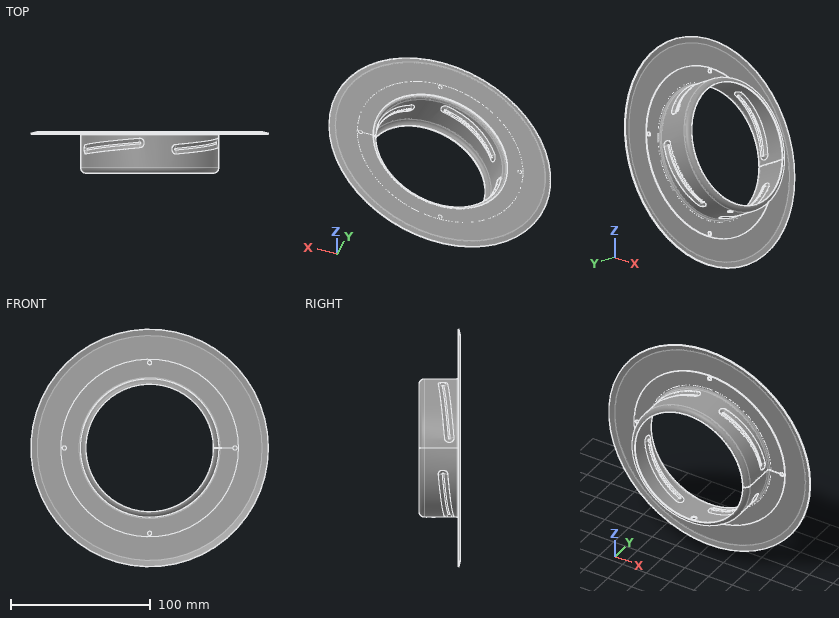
import cadquery as cq
import math


plate_diameter = 170.0
plate_flat_diameter = 161.0
plate_bore_diameter = 103.0
plate_thickness = 0.9
lip_drop = 1.1

total_depth = 29.8
sheet = 0.9
collar_diameter = 99.05
rim_opening_diameter = 91.0
flange_diameter = 127.0
bend_radius = 0.9

flange_hole_diameter = 3.0
flange_hole_circle_diameter = 122.0
flange_hole_count = 4
wall_hole_diameter = 4.0
wall_hole_depth = 22.5

slit_width = 0.1

groove_count = 4
groove_half_width = 3.4
groove_floor_half_width = 0.6
groove_floor_depth = 1.4
groove_start_angle = 8.3
groove_end_angle = 67.5
groove_start_depth = 8.1
groove_end_depth = 12.6
groove_overshoot = 0.5

collar_radius = collar_diameter / 2
bore_radius = collar_radius - sheet
rim_inner_radius = rim_opening_diameter / 2
flange_radius = flange_diameter / 2
flange_back = -plate_thickness
flange_front = flange_back - sheet
rim_bend_radius = collar_radius - rim_inner_radius
inner_rim_bend_radius = rim_bend_radius - sheet
outer_bend_radius = bend_radius + sheet
rim_start = -total_depth + rim_bend_radius
full_turn = 360.0


def revolve_about_y(profile):
    return profile.close().revolve(full_turn, (0, 0, 0), (0, 1, 0))


def arc_middle(center, radius, side):
    """Middle point of a quarter arc; side holds the signs of its quadrant."""
    reach = radius * math.sqrt(0.5)
    return (center[0] + side[0] * reach, center[1] + side[1] * reach)


def turn_about_y(body, angle):
    """Turn a body about Y, from +X toward +Z."""
    return body.rotate((0, 0, 0), (0, 1, 0), -angle)


def make_plate():
    outer = plate_diameter / 2
    flat = plate_flat_diameter / 2
    bore = plate_bore_diameter / 2
    lip_angle = math.atan2(lip_drop, outer - flat)
    edge_run = plate_thickness * math.sin(lip_angle)
    edge_rise = plate_thickness * math.cos(lip_angle)
    front_shift = plate_thickness * math.tan(lip_angle / 2)
    profile = (
        cq.Workplane("XY")
        .moveTo(bore, 0)
        .lineTo(flat, 0)
        .lineTo(outer, -lip_drop)
        .lineTo(outer - edge_run, -lip_drop - edge_rise)
        .lineTo(flat - front_shift, -plate_thickness)
        .lineTo(bore, -plate_thickness)
    )
    return revolve_about_y(profile)


def make_flanged_sleeve():
    bend_center = (collar_radius + bend_radius, flange_front - bend_radius)
    rim_center = (rim_inner_radius, rim_start)
    profile = (
        cq.Workplane("XY")
        .moveTo(flange_radius, flange_back)
        .lineTo(flange_radius, flange_front)
        .lineTo(bend_center[0], flange_front)
        .threePointArc(arc_middle(bend_center, bend_radius, (-1, 1)), (collar_radius, bend_center[1]))
        .lineTo(collar_radius, rim_start)
        .threePointArc(arc_middle(rim_center, rim_bend_radius, (1, -1)), (rim_inner_radius, -total_depth))
        .lineTo(rim_inner_radius, -total_depth + sheet)
        .threePointArc(arc_middle(rim_center, inner_rim_bend_radius, (1, -1)), (bore_radius, rim_start))
        .lineTo(bore_radius, bend_center[1])
        .threePointArc(arc_middle(bend_center, outer_bend_radius, (-1, 1)), (bend_center[0], flange_back))
    )
    return revolve_about_y(profile)


def make_groove_body(top_radius, top_half_width, floor_radius, floor_half_width):
    """Helical bar of tapered section with conical ends, first groove position."""
    sweep_angle = groove_end_angle - groove_start_angle
    advance = groove_end_depth - groove_start_depth
    pitch = advance * full_turn / sweep_angle
    helix = cq.Wire.makeHelix(pitch, advance, floor_radius)
    bar = (
        cq.Workplane("XZ")
        .moveTo(floor_radius, -floor_half_width)
        .lineTo(top_radius, -top_half_width)
        .lineTo(top_radius, top_half_width)
        .lineTo(floor_radius, floor_half_width)
        .close()
        .sweep(cq.Workplane(helix), isFrenet=True)
    )
    cone = cq.Workplane(
        cq.Solid.makeCone(
            floor_half_width,
            top_half_width,
            top_radius - floor_radius,
            cq.Vector(floor_radius, 0, 0),
            cq.Vector(1, 0, 0),
        )
    )
    end_cone = cone.rotate((0, 0, 0), (0, 0, 1), sweep_angle).translate((0, 0, advance))
    body = bar.union(cone).union(end_cone)
    body = body.rotate((0, 0, 0), (1, 0, 0), 90)
    return turn_about_y(body.translate((0, -groove_start_depth, 0)), groove_start_angle)


def press_grooves(sleeve):
    flank_run = groove_half_width - groove_floor_half_width
    flank_slope = flank_run / groove_floor_depth
    flank_angle = math.atan2(flank_run, groove_floor_depth)
    floor_radius = collar_radius - groove_floor_depth

    groove = make_groove_body(
        collar_radius + groove_overshoot,
        groove_half_width + groove_overshoot * flank_slope,
        floor_radius,
        groove_floor_half_width,
    )

    ridge_top_radius = collar_radius - sheet / 2
    ridge_floor_radius = floor_radius - sheet
    flank_offset = sheet / math.cos(flank_angle)
    ridge_top_half_width = groove_half_width - flank_slope * sheet / 2 + flank_offset
    ridge_height = ridge_top_radius - ridge_floor_radius
    ridge = make_groove_body(
        ridge_top_radius,
        ridge_top_half_width,
        ridge_floor_radius,
        ridge_top_half_width - flank_slope * ridge_height,
    )

    for index in range(groove_count):
        angle = index * full_turn / groove_count
        sleeve = sleeve.union(turn_about_y(ridge, angle))
        sleeve = sleeve.cut(turn_about_y(groove, angle))
    return sleeve


def drill_flange_holes(sleeve):
    drill = (
        cq.Workplane("XZ")
        .polarArray(flange_hole_circle_diameter / 2, 0, full_turn, flange_hole_count)
        .circle(flange_hole_diameter / 2)
        .extrude(total_depth)
    )
    return sleeve.cut(drill)


def drill_wall_hole(sleeve):
    drill = (
        cq.Workplane("XY")
        .center(0, -wall_hole_depth)
        .circle(wall_hole_diameter / 2)
        .extrude(-flange_radius)
    )
    return sleeve.cut(drill)


def cut_slit(sleeve):
    slit = cq.Workplane("XY").box(
        flange_diameter, total_depth, slit_width, centered=(False, False, True)
    )
    return sleeve.cut(slit.translate((0, -total_depth, 0)))


def make_sleeve():
    sleeve = make_flanged_sleeve()
    sleeve = press_grooves(sleeve)
    sleeve = drill_flange_holes(sleeve)
    sleeve = drill_wall_hole(sleeve)
    return cut_slit(sleeve)


plate = make_plate()
sleeve = make_sleeve()

result = cq.Compound.makeCompound([plate.val(), *sleeve.vals()])